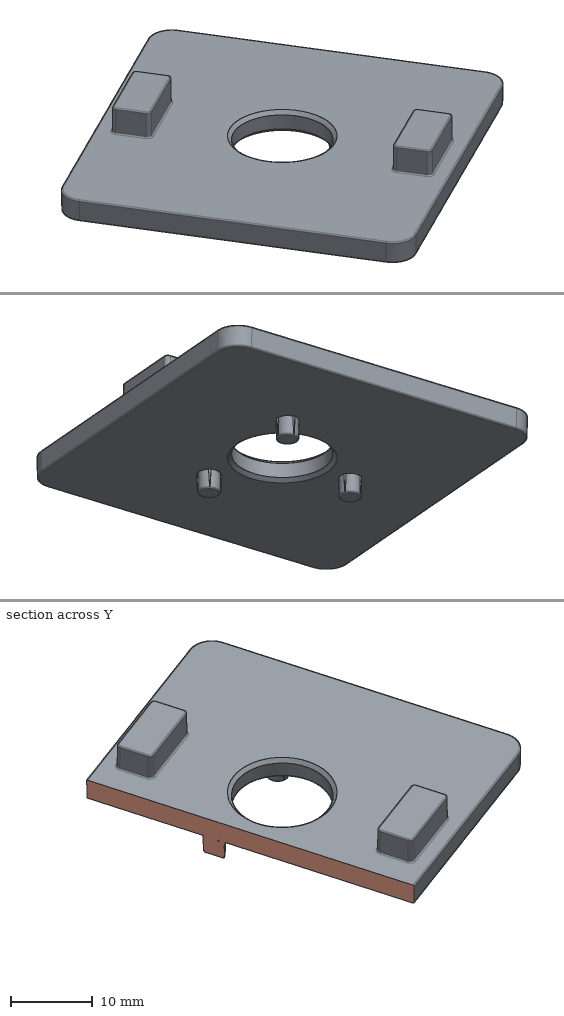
import cadquery as cq
import math

plate_side = 45.0
total_height = 9.0
draft_angle = 1.0
edge_radius = 0.2

plate_thickness = 2.92
plate_corner_radius = 3.0

hole_diameter = 12.4
hole_chamfer = 0.5

block_width = 5.0
block_length = 10.0
block_height = 3.5
block_corner_radius = 0.6
block_offset = 17.85

peg_count = 3
peg_height = total_height - plate_thickness - block_height
peg_circle_radius = 10.0
peg_diameter = 2.85
first_peg_angle = 60.0
rib_count = 4
rib_diameter = 0.3
rib_draft_angle = 3.0


def make_plate():
    """Square plate with rounded corners, tapering towards its underside."""
    return (
        cq.Workplane("XY")
        .sketch()
        .rect(plate_side, plate_side)
        .vertices()
        .fillet(plate_corner_radius)
        .finalize()
        .extrude(-plate_thickness, taper=draft_angle)
        .faces("<Z or >Z")
        .edges()
        .fillet(edge_radius)
    )


def make_block():
    """Tapered block with a rounded top edge, standing on Z = 0."""
    return (
        cq.Workplane("XY")
        .sketch()
        .rect(block_width, block_length)
        .vertices()
        .fillet(block_corner_radius)
        .finalize()
        .extrude(block_height, taper=draft_angle)
        .faces(">Z")
        .edges()
        .fillet(edge_radius)
    )


def make_peg():
    """Tapered round peg with crush ribs, hanging down from Z = 0."""
    peg = (
        cq.Workplane("XY")
        .circle(peg_diameter / 2)
        .extrude(-peg_height, taper=draft_angle)
        .faces("<Z")
        .edges()
        .fillet(edge_radius)
    )
    ribs = (
        cq.Workplane("XY")
        .polarArray(peg_diameter / 2, 0, 360, rib_count)
        .circle(rib_diameter / 2)
        .extrude(edge_radius - peg_height, taper=rib_draft_angle)
    )
    return peg.union(ribs)


def make_hole_cutter():
    """Solid of revolution for the through hole and its two chamfers."""
    bore_radius = hole_diameter / 2
    mouth_radius = bore_radius + hole_chamfer
    return (
        cq.Workplane("XZ")
        .moveTo(0, 0)
        .lineTo(mouth_radius, 0)
        .lineTo(bore_radius, -hole_chamfer)
        .lineTo(bore_radius, hole_chamfer - plate_thickness)
        .lineTo(mouth_radius, -plate_thickness)
        .lineTo(0, -plate_thickness)
        .close()
        .revolve(360, (0, 0, 0), (0, 1, 0))
    )


body = make_plate()
for side in (-1, 1):
    body = body.union(make_block().translate((side * block_offset, 0, 0)))
foot_reach_x = block_offset + block_width / 2 + edge_radius
foot_reach_y = block_length
foot_reach_z = edge_radius / 2
block_foot = cq.selectors.BoxSelector(
    (-foot_reach_x, -foot_reach_y, -foot_reach_z),
    (foot_reach_x, foot_reach_y, foot_reach_z),
)
body = body.edges(block_foot).fillet(edge_radius)

body = body.cut(make_hole_cutter())

first_peg = make_peg().translate(
    (
        peg_circle_radius * math.cos(math.radians(first_peg_angle)),
        peg_circle_radius * math.sin(math.radians(first_peg_angle)),
        -plate_thickness,
    )
)
for index in range(peg_count):
    body = body.union(first_peg.rotate((0, 0, 0), (0, 0, 1), index * 360 / peg_count))

result = body